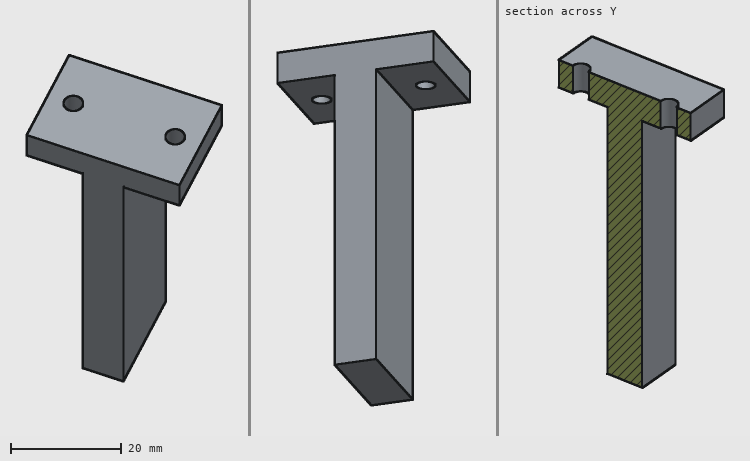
import cadquery as cq

plate_length = 30.0
depth = 20.0
total_height = 63.0

plate_thickness = 6.0
web_thickness = 8.0
web_height = total_height - plate_thickness

hole_diameter = 3.5
hole_spacing = 20.0

web = cq.Workplane("XY").box(web_thickness, depth, web_height, centered=(True, True, False))

plate = (
    cq.Workplane("XY")
    .workplane(offset=web_height)
    .box(plate_length, depth, plate_thickness, centered=(True, True, False))
    .faces(">Z")
    .workplane()
    .rarray(hole_spacing, 0.6, 2, 1)
    .hole(hole_diameter)
)

result = web.union(plate)